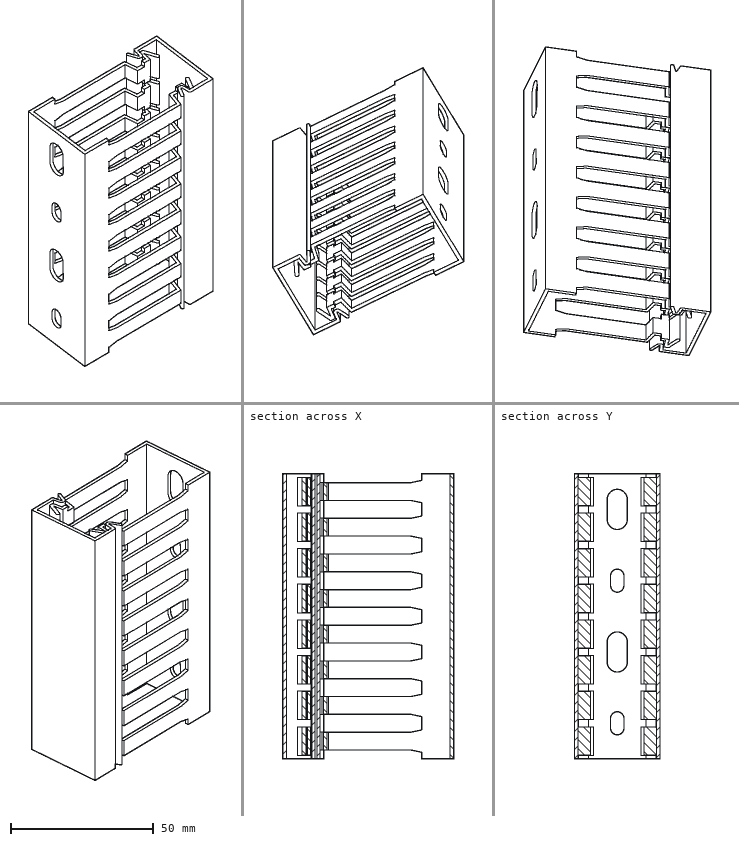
import cadquery as cq
import math

WIDTH = 30.0
DEPTH = 60.0
LENGTH = 100.0
WALL = 1.4

HALF_WIDTH = WIDTH / 2
BACK_Y = DEPTH / 2
FRONT_Y = -DEPTH / 2
INNER_X = HALF_WIDTH - WALL

LIP_THICKNESS = 1.2
FOLD_X = 11.4
FOLD_Y = 18.4
FOLD_INNER_RADIUS = 0.2
FOLD_OUTER_RADIUS = FOLD_INNER_RADIUS + LIP_THICKNESS
LEG_ANGLE = 8.0
COVER_CORNER_RADIUS = 0.5
TONGUE_ANGLE = 25.0

BASE_WALL_END_Y = 14.9
GROOVE_X = 9.7
GROOVE_FRONT_Y = 16.2
GROOVE_BACK_Y = 20.0
GROOVE_MOUTH_BACK_Y = 20.5
SHELF_X = GROOVE_X - WALL
SHELF_FRONT_Y = 15.2
SHELF_ROOT_Y = 14.0
SHELF_BACK_Y = 21.1
NOTCH_X = 12.0
BARB_ROOT_Y = 22.3
BARB_ROOT_RADIUS = 0.5
BARB_TIP_X = 7.2
BARB_ANGLE = 25.0

SLOT_COUNT = 8
SLOT_PITCH = LENGTH / SLOT_COUNT
SLOT_HEIGHT = 6.2
SLOT_END_HEIGHT = 4.6
SLOT_TAPER_Y = -14.9
SLOT_END_Y = -18.7
SLOT_MOUTH_HEIGHT = 2.5
SLOT_MOUTH_Y = 18.3

HOLE_COUNT = 4
HOLE_PITCH = LENGTH / HOLE_COUNT
LONG_HOLE_LENGTH = 14.0
LONG_HOLE_WIDTH = 7.0
SHORT_HOLE_LENGTH = 8.0
SHORT_HOLE_WIDTH = 4.6


def polar(start, distance, degrees):
    """Point at a distance from a start point, in a direction measured from +X."""
    angle = math.radians(degrees)
    return (start[0] + distance * math.cos(angle), start[1] + distance * math.sin(angle))


def along(start, degrees, x):
    """Point with the given x on the line through a start point in the given direction."""
    return (x, start[1] + (x - start[0]) * math.tan(math.radians(degrees)))


def extrude_symmetric(half_outline):
    """Extrude a +X half outline over the full length and join it to its mirror image."""
    half = half_outline.close().extrude(LENGTH)
    return half.union(half.mirror("YZ"))


def round_long_edges(body, x, y, radius):
    """Round the full-length edges at (x, y) and (-x, y)."""
    for side in (-1, 1):
        edge = cq.selectors.NearestToPointSelector((side * x, y, LENGTH / 2))
        body = body.edges("|Z").edges(edge).fillet(radius)
    return body


def make_cover():
    fold = (FOLD_X, FOLD_Y)
    leg_up = 90 + LEG_ANGLE
    tongue_up = 90 - TONGUE_ANGLE
    tongue_down = tongue_up - 180

    leg_inner = polar(fold, FOLD_INNER_RADIUS, leg_up)
    leg_outer = polar(fold, FOLD_OUTER_RADIUS, leg_up)
    tongue_inner = polar(fold, FOLD_INNER_RADIUS, tongue_down)
    tongue_outer = polar(fold, FOLD_OUTER_RADIUS, tongue_down)

    tip_radius = LIP_THICKNESS / 2
    tongue_middle = polar(fold, FOLD_INNER_RADIUS + tip_radius, tongue_down)
    tip = along(tongue_middle, -TONGUE_ANGLE, HALF_WIDTH - tip_radius)

    wall_end = along(leg_inner, LEG_ANGLE, HALF_WIDTH)
    cover = extrude_symmetric(
        cq.Workplane("XY")
        .moveTo(0, BACK_Y)
        .lineTo(HALF_WIDTH, BACK_Y)
        .lineTo(*wall_end)
        .lineTo(*leg_inner)
        .threePointArc(polar(fold, FOLD_INNER_RADIUS, 180), tongue_inner)
        .lineTo(*polar(tip, tip_radius, tongue_up))
        .threePointArc(polar(tip, tip_radius, -TONGUE_ANGLE), polar(tip, tip_radius, tongue_down))
        .lineTo(*tongue_outer)
        .threePointArc(polar(fold, FOLD_OUTER_RADIUS, 180), leg_outer)
        .lineTo(*along(leg_outer, LEG_ANGLE, INNER_X))
        .lineTo(INNER_X, BACK_Y - WALL)
        .lineTo(0, BACK_Y - WALL)
    )
    return round_long_edges(cover, *wall_end, COVER_CORNER_RADIUS)


def make_base_channel():
    barb_direction = 180 - BARB_ANGLE
    barb_up = barb_direction - 90
    barb_down = barb_up - 180

    tip_radius = WALL / 2
    barb_root = (INNER_X, BARB_ROOT_Y)
    barb_middle = polar(barb_root, tip_radius, barb_down)
    barb_underside = polar(barb_root, WALL, barb_down)
    tip = along(barb_middle, barb_direction, BARB_TIP_X + tip_radius)

    channel = extrude_symmetric(
        cq.Workplane("XY")
        .moveTo(0, FRONT_Y)
        .lineTo(HALF_WIDTH, FRONT_Y)
        .lineTo(HALF_WIDTH, BASE_WALL_END_Y)
        .lineTo(GROOVE_X, GROOVE_FRONT_Y)
        .lineTo(GROOVE_X, GROOVE_BACK_Y)
        .lineTo(INNER_X, GROOVE_MOUTH_BACK_Y)
        .lineTo(*barb_root)
        .lineTo(*polar(tip, tip_radius, barb_up))
        .threePointArc(polar(tip, tip_radius, barb_direction), polar(tip, tip_radius, barb_down))
        .lineTo(*along(barb_underside, barb_direction, NOTCH_X))
        .lineTo(SHELF_X, SHELF_BACK_Y)
        .lineTo(SHELF_X, SHELF_FRONT_Y)
        .lineTo(INNER_X, SHELF_ROOT_Y)
        .lineTo(INNER_X, FRONT_Y + WALL)
        .lineTo(0, FRONT_Y + WALL)
    )
    return round_long_edges(channel, *barb_root, BARB_ROOT_RADIUS)


def make_cable_slot():
    """Slot through both side walls, centred on z = 0 and open toward the cover."""
    upper_edge = [
        (BACK_Y, SLOT_MOUTH_HEIGHT / 2),
        (SLOT_MOUTH_Y, SLOT_MOUTH_HEIGHT / 2),
        (SLOT_MOUTH_Y, SLOT_HEIGHT / 2),
        (SLOT_TAPER_Y, SLOT_HEIGHT / 2),
        (SLOT_END_Y, SLOT_END_HEIGHT / 2),
    ]
    lower_edge = [(y, -z) for y, z in reversed(upper_edge)]
    return (
        cq.Workplane("YZ")
        .polyline(upper_edge + lower_edge)
        .close()
        .extrude(HALF_WIDTH, both=True)
    )


def make_mounting_hole(length, width, z):
    return (
        cq.Workplane("XZ", origin=(0, FRONT_Y, z))
        .slot2D(length, width, 90)
        .extrude(-WALL)
    )


def make_base():
    base = make_base_channel()

    cable_slot = make_cable_slot()
    for i in range(SLOT_COUNT + 1):
        base = base.cut(cable_slot.translate((0, 0, i * SLOT_PITCH)))

    for i in range(HOLE_COUNT):
        z = (i + 0.5) * HOLE_PITCH
        if i % 2 == 0:
            hole = make_mounting_hole(SHORT_HOLE_LENGTH, SHORT_HOLE_WIDTH, z)
        else:
            hole = make_mounting_hole(LONG_HOLE_LENGTH, LONG_HOLE_WIDTH, z)
        base = base.cut(hole)
    return base


cover = make_cover()
base = make_base()

result = cq.Compound.makeCompound([cover.solids().val(), base.solids().val()])